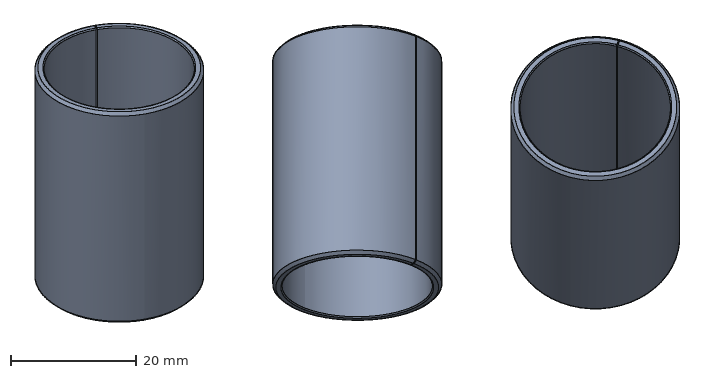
import cadquery as cq

outer_diameter = 27.0
wall_thickness = 1.5
length = 40.0
outer_chamfer = 0.5
bore_chamfer = 0.2
slit_width = 0.2

outer_radius = outer_diameter / 2
bore_radius = outer_radius - wall_thickness


def chamfered_sleeve():
    """Revolve the wall section, chamfered at all four corners, about Z."""
    wall_section = (
        cq.Workplane("XZ")
        .moveTo(bore_radius + bore_chamfer, 0)
        .lineTo(outer_radius - outer_chamfer, 0)
        .lineTo(outer_radius, outer_chamfer)
        .lineTo(outer_radius, length - outer_chamfer)
        .lineTo(outer_radius - outer_chamfer, length)
        .lineTo(bore_radius + bore_chamfer, length)
        .lineTo(bore_radius, length - bore_chamfer)
        .lineTo(bore_radius, bore_chamfer)
        .close()
    )
    return wall_section.revolve(360, (0, 0, 0), (0, 1, 0))


def slit_cutter():
    """Thin full-length blade reaching from the axis through the -X wall."""
    return cq.Workplane("XY").box(
        outer_diameter, slit_width, length, centered=(True, True, False)
    ).translate((-outer_radius, 0, 0))


result = chamfered_sleeve().cut(slit_cutter())